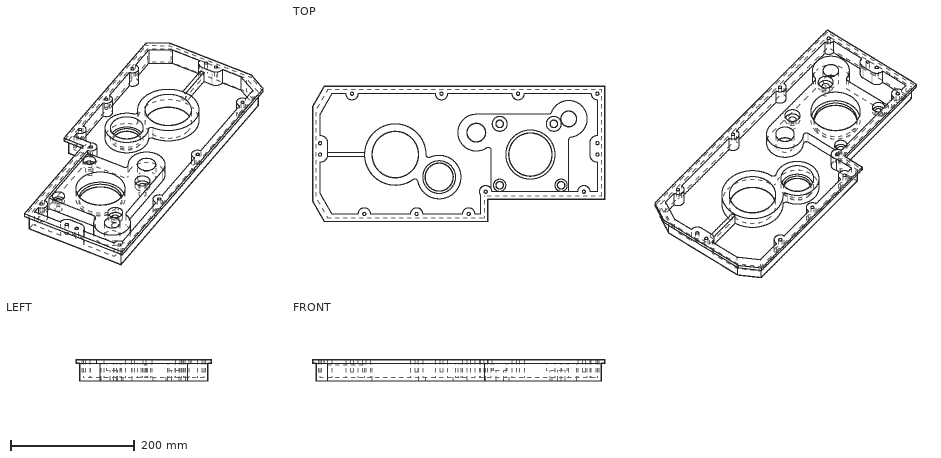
import cadquery as cq

LENGTH = 475.0
WIDTH = 220.0
HEIGHT = 35.0

BEVEL_X = 19.0
BEVEL_Y = 33.2
NOTCH_X = 285.0
NOTCH_Y = 36.0

FLANGE_THICKNESS = 6.0
FLANGE_OVERHANG = 5.5
RIM_WIDTH = 12.5
FLOOR = 5.5

BOSS_TOP = 28.5
RIB_TOP = 26.0
RIB_WIDTH = 6.0
BLEND_RADIUS = 4.8
JOINT_CLEARANCE = 4.8
AXIS_Y = 109.0

MAIN_CENTER = (134.5, AXIS_Y)
MAIN_BOSS_DIAMETER = 99.8
MAIN_BORE_DIAMETER = 75.0
SIDE_CENTER = (205.5, 72.0)
SIDE_BOSS_DIAMETER = 71.0
SIDE_BORE_DIAMETER = 45.0
SIDE_SEAT_DIAMETER = 53.0

PLATE_LEFT = 290.0
LOBE_DIAMETER = 60.0
LEFT_LOBE = (266.0, 144.5)
RIGHT_LOBE = (416.0, 166.5)
LEFT_LOBE_BORE = 30.0
RIGHT_LOBE_BORE = 25.0
PLATE_BORE_CENTER = (354.0, AXIS_Y)
PLATE_BORE_DIAMETER = 70.0
PLATE_SEAT_DIAMETER = 80.0
SEAT_FLOOR = 6.0

BOLT_OFFSET = 50.0
SHIFTED_BOLT_OFFSET = 38.0
BOLT_DIAMETER = 12.0
UPPER_HEAD_DIAMETER = 24.0
LOWER_HEAD_DIAMETER = 20.0
HEAD_FLOOR = 17.5

SCREW_DIAMETER = 5.0
SCREW_DEPTH = 20.0
SCREW_POST_DIAMETER = 20.0
SCREW_PAIR_SPACING = 18.5
PAIR_PAD_DIAMETER = 24.5
TOP_SCREWS_X = (64.0, 209.5, 334.0)
BOTTOM_SCREWS_X = (84.0, 169.0, 253.5)
STEP_SCREWS_X = (281.0, 441.0)


def outline(inset):
    """Part outline moved inward; the bevels keep their size."""
    left = inset
    right = LENGTH - inset
    bottom = inset
    top = WIDTH - inset
    return cq.Workplane("XY").polyline([
        (left + BEVEL_X, bottom),
        (NOTCH_X - inset, bottom),
        (NOTCH_X - inset, NOTCH_Y + inset),
        (right, NOTCH_Y + inset),
        (right, top),
        (left + BEVEL_X, top),
        (left, top - BEVEL_Y),
        (left, bottom + BEVEL_Y),
    ]).close()


def cylinder(center, diameter, bottom, top):
    """Upright cylinder between two levels."""
    return cq.Workplane("XY", origin=(*center, bottom)).circle(diameter / 2).extrude(top - bottom)


def block(x_range, y_range, bottom, top):
    """Upright box between two corners and two levels."""
    size_x = x_range[1] - x_range[0]
    size_y = y_range[1] - y_range[0]
    base = cq.Workplane("XY", origin=(x_range[0], y_range[0], bottom))
    return base.box(size_x, size_y, top - bottom, centered=False)


def stepped_bore(center, bore_diameter, seat_diameter, seat_floor):
    """Through bore with a wider seat opening upward."""
    bore = cylinder(center, bore_diameter, 0, HEIGHT)
    return bore.union(cylinder(center, seat_diameter, seat_floor, HEIGHT))


def round_corners(shape, x_range, y_range):
    """Fillet the upright edges that lie inside a rectangle in plan."""
    region = cq.selectors.BoxSelector(
        (x_range[0], y_range[0], 0),
        (x_range[1], y_range[1], HEIGHT),
    )
    return shape.edges("|Z").edges(region).fillet(BLEND_RADIUS)


left_x = RIM_WIDTH
right_x = LENGTH - RIM_WIDTH
low_y = RIM_WIDTH
step_y = NOTCH_Y + RIM_WIDTH
high_y = WIDTH - RIM_WIDTH

body = outline(FLANGE_OVERHANG).extrude(HEIGHT)
flange = outline(0).extrude(FLANGE_THICKNESS).translate((0, 0, HEIGHT - FLANGE_THICKNESS))
solid_tray = body.union(flange)
cavity = outline(RIM_WIDTH).extrude(HEIGHT - FLOOR).translate((0, 0, FLOOR))
tray = solid_tray.cut(cavity)

bearing_boss = cylinder(MAIN_CENTER, MAIN_BOSS_DIAMETER, 0, BOSS_TOP)
bearing_boss = bearing_boss.union(cylinder(SIDE_CENTER, SIDE_BOSS_DIAMETER, 0, BOSS_TOP))
waist_x = (MAIN_CENTER[0], SIDE_CENTER[0])
bearing_boss = round_corners(bearing_boss, waist_x, (0, WIDTH))

rib = block(
    (left_x, MAIN_CENTER[0]),
    (AXIS_Y - RIB_WIDTH / 2, AXIS_Y + RIB_WIDTH / 2),
    0,
    RIB_TOP,
)

plate_top = LEFT_LOBE[1] + LOBE_DIAMETER / 2
plate_bottom = step_y
plate = block((PLATE_LEFT, RIGHT_LOBE[0]), (plate_bottom, plate_top), 0, BOSS_TOP)
plate = plate.union(block((LEFT_LOBE[0], PLATE_LEFT), (LEFT_LOBE[1], plate_top), 0, BOSS_TOP))
for lobe in (LEFT_LOBE, RIGHT_LOBE):
    plate = plate.union(cylinder(lobe, LOBE_DIAMETER, 0, BOSS_TOP))

lobe_joint_x = (LEFT_LOBE[0] + JOINT_CLEARANCE, RIGHT_LOBE[0] + JOINT_CLEARANCE)
lobe_joint_y = (plate_bottom + JOINT_CLEARANCE, WIDTH)
plate = round_corners(plate, lobe_joint_x, lobe_joint_y)

pair_y = (AXIS_Y, AXIS_Y + SCREW_PAIR_SPACING)
single_screws = [(x, high_y) for x in (*TOP_SCREWS_X, right_x)]
single_screws += [(x, low_y) for x in BOTTOM_SCREWS_X]
single_screws += [(x, step_y) for x in STEP_SCREWS_X]
paired_screws = [(x, y) for x in (left_x, right_x) for y in pair_y]

posts = cq.Workplane("XY").pushPoints(single_screws).circle(SCREW_POST_DIAMETER / 2).extrude(HEIGHT)
pair_centers = [(x, sum(pair_y) / 2) for x in (left_x, right_x)]
pads = cq.Workplane("XY").pushPoints(pair_centers)
pads = pads.slot2D(SCREW_PAIR_SPACING + PAIR_PAD_DIAMETER, PAIR_PAD_DIAMETER, 90).extrude(HEIGHT)
posts = posts.union(pads).intersect(solid_tray)

result = tray.union(bearing_boss).union(rib).union(plate).union(posts)

result = result.cut(cylinder(MAIN_CENTER, MAIN_BORE_DIAMETER, 0, HEIGHT))
result = result.cut(stepped_bore(SIDE_CENTER, SIDE_BORE_DIAMETER, SIDE_SEAT_DIAMETER, SEAT_FLOOR))
result = result.cut(stepped_bore(PLATE_BORE_CENTER, PLATE_BORE_DIAMETER, PLATE_SEAT_DIAMETER, SEAT_FLOOR))
result = result.cut(cylinder(LEFT_LOBE, LEFT_LOBE_BORE, 0, HEIGHT))
result = result.cut(cylinder(RIGHT_LOBE, RIGHT_LOBE_BORE, 0, HEIGHT))

bolts = (
    (-BOLT_OFFSET, BOLT_OFFSET, UPPER_HEAD_DIAMETER),
    (SHIFTED_BOLT_OFFSET, BOLT_OFFSET, UPPER_HEAD_DIAMETER),
    (-BOLT_OFFSET, -BOLT_OFFSET, LOWER_HEAD_DIAMETER),
    (BOLT_OFFSET, -BOLT_OFFSET, LOWER_HEAD_DIAMETER),
)
for offset_x, offset_y, head_diameter in bolts:
    center = (PLATE_BORE_CENTER[0] + offset_x, PLATE_BORE_CENTER[1] + offset_y)
    result = result.cut(stepped_bore(center, BOLT_DIAMETER, head_diameter, HEAD_FLOOR))

for center in single_screws + paired_screws:
    result = result.cut(cylinder(center, SCREW_DIAMETER, HEIGHT - SCREW_DEPTH, HEIGHT))